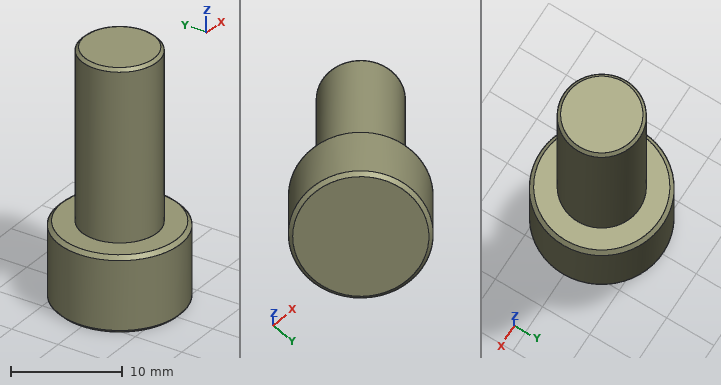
import cadquery as cq

total_length = 26.0
head_diameter = 13.0
head_height = 8.0
shank_diameter = 8.0
shank_length = total_length - head_height

head_chamfer = 0.4
shank_chamfer = 0.3


def make_head():
    """Cylindrical head with both rims chamfered, standing on the XY plane."""
    head = cq.Workplane("XY").circle(head_diameter / 2).extrude(head_height)
    return head.faces("<Z or >Z").edges().chamfer(head_chamfer)


def make_shank():
    """Plain shank rising from the head, with a chamfered tip."""
    shank = (
        cq.Workplane("XY")
        .workplane(offset=head_height)
        .circle(shank_diameter / 2)
        .extrude(shank_length)
    )
    return shank.faces(">Z").edges().chamfer(shank_chamfer)


result = make_head().union(make_shank())